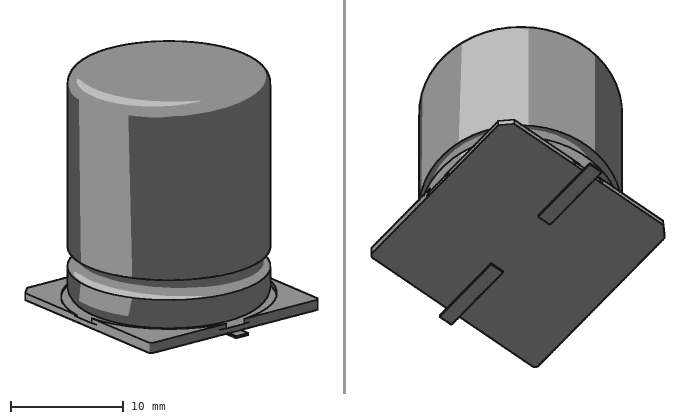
import cadquery as cq

TOTAL_HEIGHT = 22.0
LEAD_SPAN = 21.0
BASE_SIDE = 19.0

LEAD_THICKNESS = 0.2
LEAD_WIDTH = 1.36
LEAD_GAP = 6.55

LOW_TOP = 0.85
HIGH_TOP = 1.17
RECESS_FLOOR = 0.7
RECESS_DIAMETER = 19.12
LARGE_CHAMFER = 1.0
CORNER_RADIUS = 0.4

CAN_RADIUS = 18.0 / 2
RIM_RADIUS = 1.2
GROOVE_RADIUS = 0.92
GROOVE_HEIGHT = 4.62


def make_base():
    """Square plate with chamfered -X corners, rounded +X corners, stepped top and round recess."""
    plate = (
        cq.Workplane("XY", origin=(0, 0, LEAD_THICKNESS))
        .rect(BASE_SIDE, BASE_SIDE)
        .extrude(HIGH_TOP - LEAD_THICKNESS)
        .edges("|Z and <X")
        .chamfer(LARGE_CHAMFER)
        .edges("|Z and >X")
        .fillet(CORNER_RADIUS)
    )
    low_half_cut = (
        cq.Workplane("XY", origin=(-BASE_SIDE / 2, 0, LOW_TOP))
        .rect(BASE_SIDE, BASE_SIDE)
        .extrude(HIGH_TOP - LOW_TOP)
    )
    recess = (
        cq.Workplane("XY", origin=(0, 0, RECESS_FLOOR))
        .circle(RECESS_DIAMETER / 2)
        .extrude(HIGH_TOP - RECESS_FLOOR)
    )
    return plate.cut(low_half_cut).cut(recess)


def make_can():
    """Cylinder with rounded rims and a half-round groove near the bottom."""
    can = (
        cq.Workplane("XY", origin=(0, 0, RECESS_FLOOR))
        .circle(CAN_RADIUS)
        .extrude(TOTAL_HEIGHT - RECESS_FLOOR)
        .edges("%CIRCLE")
        .fillet(RIM_RADIUS)
    )
    groove = cq.Workplane("XY").add(
        cq.Solid.makeTorus(CAN_RADIUS, GROOVE_RADIUS, cq.Vector(0, 0, GROOVE_HEIGHT))
    )
    return can.cut(groove)


def make_lead(side):
    """Lead on the +X (side = 1) or -X (side = -1) half."""
    length = (LEAD_SPAN - LEAD_GAP) / 2
    center_x = side * (LEAD_SPAN + LEAD_GAP) / 4
    return (
        cq.Workplane("XY")
        .center(center_x, 0)
        .rect(length, LEAD_WIDTH)
        .extrude(LEAD_THICKNESS)
    )


result = make_base().union(make_can())
for lead_side in (-1, 1):
    result = result.union(make_lead(lead_side))